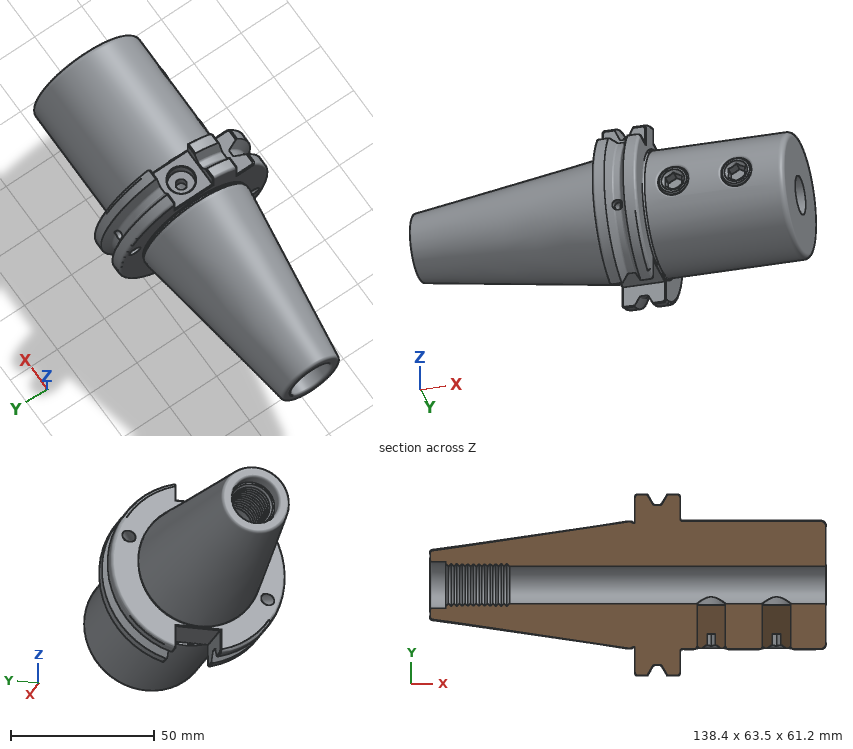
import cadquery as cq
import math

LENGTH = 138.4
TAPER_END = 68.9
FLANGE_FRONT = 71.5
FLANGE_WIDTH = 15.9
FLANGE_BACK = FLANGE_FRONT + FLANGE_WIDTH

TAPER_RATIO = 7 / 24
TAPER_LARGE_RADIUS = 22.3
TAPER_SMALL_RADIUS = TAPER_LARGE_RADIUS - TAPER_END * TAPER_RATIO / 2
TAPER_TIP_ROUND = 1.1
RELIEF_START = 70.3
RELIEF_END = 71.1
RELIEF_RADIUS = 21.9
BODY_RADIUS = 22.5
BODY_END_ROUND = 2.0
BODY_CORNER_ROUND = 0.7

FLANGE_DIAMETER = 63.5
FLANGE_RADIUS = FLANGE_DIAMETER / 2
FLANGE_EDGE_ROUND = 1.1
GROOVE_CENTRE = 79.5
GROOVE_FLOOR_RADIUS = 28.1
GROOVE_TOP_WIDTH = 6.9
GROOVE_WALL_ANGLE = 30.0
GROOVE_FLOOR_ROUND = 0.7

SLOT_WIDTH = 16.0
SLOT_EDGE_CHAMFER = 0.4
TOP_SLOT_FLOOR = 24.5
BOTTOM_SLOT_FLOOR = 22.4
NOTCH_OFFSET = 18.4

BORE_RADIUS = 6.9
MOUTH_RADIUS = 8.5
MOUTH_ROUND = 0.8
MOUTH_DEPTH = 5.5
THREAD_RADIUS = 7.8
THREAD_PITCH = 2.0
THREAD_TURNS = 12

CHIP_HOLE_DIAMETER = 10.0
CHIP_HOLE_DEPTH = 4.5
CHIP_HOLE_CHAMFER = 0.3
CHIP_DRILL_DIAMETER = 4.0
CHIP_DRILL_DEPTH = 4.2
DRILL_POINT_ANGLE = 118.0

COOLANT_ANGLES = (20.0, 200.0)
COOLANT_PITCH_RADIUS = 26.8
COOLANT_DIAMETER = 4.0
COOLANT_TILT = 35.0
PLUG_HOLE_DIAMETER = 3.6

SCREW_POSITIONS = (98.3, 121.1)
SCREW_RADIUS = 5.5
SCREW_HEAD_PLANE = 22.1
SCREW_EDGE_CHAMFER = 0.5
SCREW_HOLE_ROUND = 0.8
HEX_SIDES = 6
HEX_HALF_ANGLE = 180 / HEX_SIDES
SOCKET_FLATS = 6.0
SOCKET_DEPTH = 5.0
SOCKET_RIM_RADIUS = 4.2


def turned(points):
    """Solid of revolution about the X axis, swept from (x, z) points."""
    return cq.Workplane("XZ").polyline(points).close().revolve(360, (0, 0, 0), (1, 0, 0))


def cylinder_x(start, end, radius):
    """Cylinder on the X axis between two X positions."""
    return cq.Workplane("YZ", origin=(start, 0, 0)).circle(radius).extrude(end - start)


def make_taper():
    """Tapered shank with a rounded tip and a relief neck in front of the flange."""
    taper = turned([
        (0, 0),
        (0, TAPER_SMALL_RADIUS),
        (TAPER_END, TAPER_LARGE_RADIUS),
        (RELIEF_START, TAPER_LARGE_RADIUS),
        (RELIEF_END, RELIEF_RADIUS),
        (FLANGE_FRONT, RELIEF_RADIUS),
        (FLANGE_FRONT, 0),
    ])
    return taper.faces("<X").edges().fillet(TAPER_TIP_ROUND)


def make_flange_cutouts():
    """The two driving slots and the corner notch, running along X through the flange."""

    def bar(y_min, y_max, z_min, z_max):
        return (
            cq.Workplane("XY")
            .box(FLANGE_WIDTH, y_max - y_min, z_max - z_min, centered=False)
            .translate((FLANGE_FRONT, y_min, z_min))
        )

    half = SLOT_WIDTH / 2
    top_slot = bar(-half, half, TOP_SLOT_FLOOR, FLANGE_RADIUS)
    bottom_slot = bar(-half, half, -FLANGE_RADIUS, -BOTTOM_SLOT_FLOOR)
    notch = bar(-FLANGE_RADIUS, -NOTCH_OFFSET, NOTCH_OFFSET, FLANGE_RADIUS)
    return top_slot.union(bottom_slot).union(notch)


def make_slotted_disc():
    """Round-edged disc with the slots and notch cut and their outer edges chamfered."""
    disc = cylinder_x(FLANGE_FRONT, FLANGE_BACK, FLANGE_RADIUS)
    disc = disc.faces("<X or >X").edges().fillet(FLANGE_EDGE_ROUND)
    disc = disc.cut(make_flange_cutouts())

    def is_outer(edge):
        middle = edge.Center()
        along_x = edge.BoundingBox().xlen > FLANGE_WIDTH / 2
        return not along_x or math.hypot(middle.y, middle.z) > GROOVE_FLOOR_RADIUS

    cut_walls = disc.faces("%PLANE").faces("#X")
    return cut_walls.edges().filter(is_outer).chamfer(SLOT_EDGE_CHAMFER)


def make_groove():
    """Ring that cuts the V groove, with a rounded floor."""
    depth = FLANGE_RADIUS - GROOVE_FLOOR_RADIUS
    half_top = GROOVE_TOP_WIDTH / 2
    half_floor = half_top - depth * math.tan(math.radians(GROOVE_WALL_ANGLE))
    groove = turned([
        (GROOVE_CENTRE - half_floor, GROOVE_FLOOR_RADIUS),
        (GROOVE_CENTRE - half_top, FLANGE_RADIUS),
        (GROOVE_CENTRE + half_top, FLANGE_RADIUS),
        (GROOVE_CENTRE + half_floor, GROOVE_FLOOR_RADIUS),
    ])
    floor_edges = cq.selectors.RadiusNthSelector(0)
    return groove.edges("%CIRCLE").edges(floor_edges).fillet(GROOVE_FLOOR_ROUND)


def make_body():
    """Cylindrical body with a rounded end and a hollow-rounded corner at the flange."""
    body = cylinder_x(FLANGE_BACK, LENGTH, BODY_RADIUS)
    body = body.faces(">X").edges().fillet(BODY_END_ROUND)
    corner = (
        cq.Workplane("XY")
        .moveTo(FLANGE_BACK, BODY_RADIUS)
        .lineTo(FLANGE_BACK, BODY_RADIUS + BODY_CORNER_ROUND)
        .radiusArc((FLANGE_BACK + BODY_CORNER_ROUND, BODY_RADIUS), -BODY_CORNER_ROUND)
        .close()
        .revolve(360, (0, 0, 0), (1, 0, 0))
    )
    return body.union(corner)


def make_bore():
    """Through bore with a wider round-lipped mouth at the taper tip and thread-like rings behind it."""
    mouth = cylinder_x(0, MOUTH_DEPTH, MOUTH_RADIUS)
    lip = (
        cq.Workplane("XZ")
        .moveTo(0, 0)
        .lineTo(0, MOUTH_RADIUS + MOUTH_ROUND)
        .radiusArc((MOUTH_ROUND, MOUTH_RADIUS), -MOUTH_ROUND)
        .lineTo(MOUTH_ROUND, 0)
        .close()
        .revolve(360, (0, 0, 0), (1, 0, 0))
    )
    thread = [(MOUTH_DEPTH, 0)]
    for turn in range(THREAD_TURNS):
        root = MOUTH_DEPTH + turn * THREAD_PITCH
        thread += [(root, THREAD_RADIUS), (root + THREAD_PITCH / 2, BORE_RADIUS)]
    thread += [(LENGTH, BORE_RADIUS), (LENGTH, 0)]
    return mouth.union(lip).union(turned(thread))


def make_chip_hole():
    """Chamfered flat-bottomed hole in the top slot, with a smaller drilled hole in its floor."""
    rim = CHIP_HOLE_DIAMETER / 2
    drill = CHIP_DRILL_DIAMETER / 2
    floor = TOP_SLOT_FLOOR - CHIP_HOLE_DEPTH
    drill_end = floor - CHIP_DRILL_DEPTH
    point_length = drill / math.tan(math.radians(DRILL_POINT_ANGLE / 2))
    return (
        cq.Workplane("XZ")
        .polyline([
            (0, TOP_SLOT_FLOOR),
            (rim + CHIP_HOLE_CHAMFER, TOP_SLOT_FLOOR),
            (rim, TOP_SLOT_FLOOR - CHIP_HOLE_CHAMFER),
            (rim, floor),
            (drill, floor),
            (drill, drill_end),
            (0, drill_end - point_length),
        ])
        .close()
        .revolve(360, (0, 0, 0), (0, 1, 0))
        .translate((GROOVE_CENTRE, 0, 0))
    )


def make_coolant_holes():
    """Tilted holes from the flange face, each meeting a radial hole from the groove floor."""
    tilt = math.radians(COOLANT_TILT)
    run = GROOVE_CENTRE - FLANGE_FRONT
    meeting_radius = COOLANT_PITCH_RADIUS - run * math.tan(tilt)
    direction = cq.Vector(math.cos(tilt), -math.sin(tilt), 0)
    lead_in = COOLANT_DIAMETER
    start = cq.Vector(FLANGE_FRONT, COOLANT_PITCH_RADIUS, 0) - direction * lead_in
    length = lead_in + run / math.cos(tilt)
    tilted = cq.Solid.makeCylinder(COOLANT_DIAMETER / 2, length, start, direction)
    radial = cq.Solid.makeCylinder(
        PLUG_HOLE_DIAMETER / 2,
        FLANGE_RADIUS - meeting_radius,
        cq.Vector(GROOVE_CENTRE, meeting_radius, 0),
        cq.Vector(0, 1, 0),
    )
    pair = cq.Workplane(tilted).union(cq.Workplane(radial))
    first, second = [pair.rotate((0, 0, 0), (1, 0, 0), angle) for angle in COOLANT_ANGLES]
    return first.union(second)


def screw_plane(x, distance):
    """Plane across a screw axis, facing out along -Y at a distance from the X axis."""
    return cq.Workplane("XZ", origin=(x, -distance, 0))


def drill_screw_hole(holder, x):
    """Radial hole from outside into the bore, with a rounded rim."""
    holder = holder.cut(screw_plane(x, 0).circle(SCREW_RADIUS).extrude(BODY_RADIUS))
    rim = cq.selectors.NearestToPointSelector((x, -BODY_RADIUS, 0))
    return holder.edges(rim).fillet(SCREW_HOLE_ROUND)


def make_screw(x):
    """Socket set screw from the edge of the bore outward."""
    length = SCREW_HEAD_PLANE - BORE_RADIUS
    screw = screw_plane(x, BORE_RADIUS).circle(SCREW_RADIUS).extrude(length)
    screw = screw.faces("<Y").edges().chamfer(SCREW_EDGE_CHAMFER)
    corner_diameter = SOCKET_FLATS / math.cos(math.radians(HEX_HALF_ANGLE))
    socket = (
        screw_plane(x, SCREW_HEAD_PLANE)
        .transformed(rotate=(0, 0, HEX_HALF_ANGLE))
        .polygon(HEX_SIDES, corner_diameter)
        .extrude(-SOCKET_DEPTH)
    )
    rim_depth = SOCKET_RIM_RADIUS - SOCKET_FLATS / 2
    rim = cq.Solid.makeCone(
        SOCKET_RIM_RADIUS,
        SOCKET_FLATS / 2,
        rim_depth,
        cq.Vector(x, -SCREW_HEAD_PLANE, 0),
        cq.Vector(0, 1, 0),
    )
    return screw.cut(socket).cut(cq.Workplane(rim))


def make_holder():
    """Tool holder with all its cutouts and holes."""
    flange = make_slotted_disc().cut(make_groove()).cut(make_coolant_holes())
    holder = make_taper().union(flange).union(make_body())
    holder = holder.cut(make_bore()).cut(make_chip_hole())
    for x in SCREW_POSITIONS:
        holder = drill_screw_hole(holder, x)
    return holder


holder = make_holder()
screws = [make_screw(x) for x in SCREW_POSITIONS]

result = cq.Compound.makeCompound([holder.val()] + [screw.val() for screw in screws])